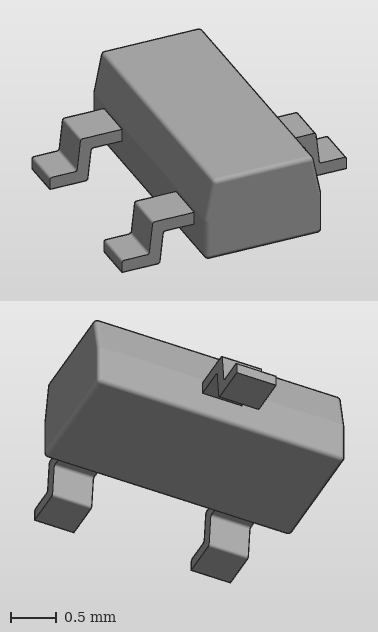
import cadquery as cq

span_y = 3.14
total_height = 1.1

body_length = 3.0
body_width = 1.4
body_bottom = 0.1
shoulder_height = 0.6
top_inset = 0.1
body_fillet = 0.05

lead_width = 0.477
lead_thickness = 0.15
lead_top = 0.553
lead_pitch = 1.903
lead_embed = 0.095
foot_top_length = 0.325
foot_bottom_length = 0.455
web_lean = 0.045
bend_fillet = 0.03


def make_body():
    """Block with vertical ends and long sides that lean inward above the shoulder."""
    half_width = body_width / 2
    half_top = half_width - top_inset
    section = [
        (-half_width, body_bottom),
        (half_width, body_bottom),
        (half_width, shoulder_height),
        (half_top, total_height),
        (-half_top, total_height),
        (-half_width, shoulder_height),
    ]
    block = cq.Workplane("YZ").polyline(section).close().extrude(body_length / 2, both=True)
    margin = 0.03
    shoulder_lines = cq.selectors.BoxSelector(
        (-margin, -body_width, shoulder_height - margin),
        (margin, body_width, shoulder_height + margin),
    )
    return block.edges(-shoulder_lines).fillet(body_fillet)


def make_lead(x_center, side):
    """Bent strip leaving the body toward +Y (side = 1) or -Y (side = -1)."""
    tip = span_y / 2
    root = body_width / 2 - lead_embed
    foot_inner = tip - foot_bottom_length
    foot_outer = tip - foot_top_length
    profile = [
        (root, lead_top),
        (foot_outer - web_lean, lead_top),
        (foot_outer, lead_thickness),
        (tip, lead_thickness),
        (tip, 0),
        (foot_inner, 0),
        (foot_inner - web_lean, lead_top - lead_thickness),
        (root, lead_top - lead_thickness),
    ]
    outline = [(side * y, z) for y, z in profile]
    strip = cq.Workplane("YZ").polyline(outline).close().extrude(lead_width / 2, both=True)
    bend_points = profile[1:4] + profile[5:7]
    for y, z in bend_points:
        bend_edge = cq.selectors.NearestToPointSelector((0, side * y, z))
        strip = strip.edges("|X").edges(bend_edge).fillet(bend_fillet)
    return strip.translate((x_center, 0, 0))


result = make_body()
for x_center, side in [(-lead_pitch / 2, -1), (lead_pitch / 2, -1), (0, 1)]:
    result = result.union(make_lead(x_center, side))